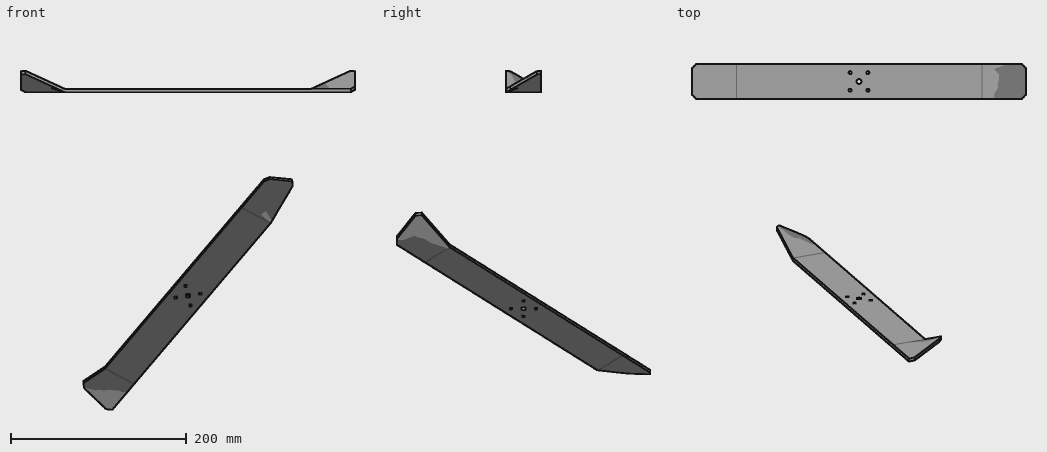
import cadquery as cq
import math

length = 380.0
width = 40.0
thickness = 4.0
tip_length = 50.0
tip_angle = 30.0
corner_chamfer = 5.0
center_hole_diameter = 5.5
bolt_hole_diameter = 3.2
bolt_spacing = 20.0

half_width = width / 2
bend_x = length / 2 - tip_length
tip_rise = width * math.tan(math.radians(tip_angle))


def twisted_tip():
    """Right-hand tip: flat at the bend, its +Y edge lifted at the outer end."""
    flat_section = [
        (-half_width, 0),
        (half_width, 0),
        (half_width, thickness),
        (-half_width, thickness),
    ]
    lifted_section = [
        (-half_width, 0),
        (half_width, tip_rise),
        (half_width, tip_rise + thickness),
        (-half_width, thickness),
    ]
    return (
        cq.Workplane("YZ", origin=(bend_x, 0, 0))
        .polyline(flat_section)
        .close()
        .workplane(offset=tip_length)
        .polyline(lifted_section)
        .close()
        .loft(ruled=True)
    )


blade = cq.Workplane("XY").box(2 * bend_x, width, thickness, centered=(True, True, False))

right_tip = twisted_tip()
for turn in (0, 180):
    blade = blade.union(right_tip.rotate((0, 0, 0), (0, 0, 1), turn))

plan_outline = (
    cq.Workplane("XY")
    .box(length, width, tip_rise + thickness, centered=(True, True, False))
    .edges("|Z")
    .chamfer(corner_chamfer)
)
blade = blade.intersect(plan_outline)

center_hole = cq.Workplane("XY").circle(center_hole_diameter / 2).extrude(thickness)
bolt_holes = (
    cq.Workplane("XY")
    .rect(bolt_spacing, bolt_spacing, forConstruction=True)
    .vertices()
    .circle(bolt_hole_diameter / 2)
    .extrude(thickness)
)
result = blade.cut(center_hole).cut(bolt_holes)